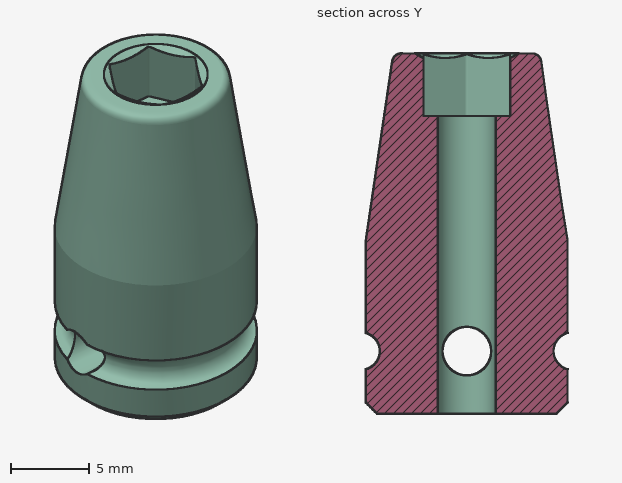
import cadquery as cq
import math

height = 23.0
body_diameter = 12.9
body_radius = body_diameter / 2
shoulder_z = 11.05
base_chamfer = 0.74

nose_radius = 4.7
rim_fillet = 0.65

groove_z = 4.0
groove_half_width = 1.15
groove_depth = 0.9
pin_hole_radius = 1.55

hex_across_flats = 5.52
hex_depth = 4.0
hex_corner_fillet = 0.2
lead_in_radius = 3.31
lead_in_angle = 30.0
bore_radius = 1.85


def make_body():
    """Revolve the outer profile about Z."""
    return (
        cq.Workplane("XZ")
        .moveTo(0, 0)
        .lineTo(body_radius - base_chamfer, 0)
        .lineTo(body_radius, base_chamfer)
        .lineTo(body_radius, groove_z - groove_half_width)
        .threePointArc(
            (body_radius - groove_depth, groove_z),
            (body_radius, groove_z + groove_half_width),
        )
        .lineTo(body_radius, shoulder_z)
        .lineTo(nose_radius, height)
        .lineTo(0, height)
        .close()
        .revolve(360, (0, 0, 0), (0, 1, 0))
        .faces(">Z")
        .edges()
        .fillet(rim_fillet)
    )


def make_socket():
    """Hexagonal pocket with rounded corners, two of them on the Y axis."""
    corner_diameter = hex_across_flats / math.cos(math.radians(30))
    return (
        cq.Workplane("XY", origin=(0, 0, height - hex_depth))
        .transformed(rotate=(0, 0, 90))
        .polygon(6, corner_diameter)
        .extrude(hex_depth)
        .edges("|Z")
        .fillet(hex_corner_fillet)
    )


def make_lead_in():
    """Conical countersink that guides a bolt head into the hexagon."""
    cone_depth = lead_in_radius * math.tan(math.radians(lead_in_angle))
    return (
        cq.Workplane("XZ")
        .polyline([(0, height), (lead_in_radius, height), (0, height - cone_depth)])
        .close()
        .revolve(360, (0, 0, 0), (0, 1, 0))
    )


bore = cq.Workplane("XY").circle(bore_radius).extrude(height)
pin_hole = (
    cq.Workplane("XZ")
    .center(0, groove_z)
    .circle(pin_hole_radius)
    .extrude(body_radius, both=True)
)

result = make_body().cut(make_socket()).cut(make_lead_in()).cut(bore).cut(pin_hole)